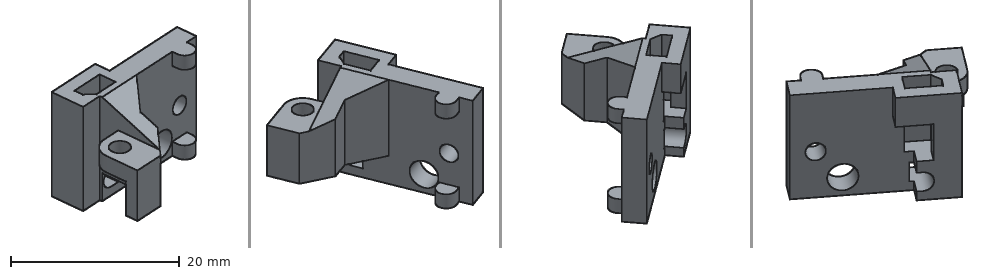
import cadquery as cq
import math

length = 22.3
width = 15.1
height = 14.8

plate_left = 2.25
plate_right = 5.26
plate_front = 5.08
block_right = 4.9
block_front = 2.03
block_back = 10.0
block_foot_back = 7.47
block_upper_bottom = 10.65
pocket_floor = 5.55
window_front = 5.45

pocket_left = 1.87
pocket_right = 4.35
pocket_front = 4.01
pocket_back = 8.6
pocket_chamfer = 1.18

upper_hole_diameter = 2.45
upper_hole_y = 19.22
upper_hole_z = 6.51
lower_hole_diameter = 3.75
lower_hole_y = 15.97
lower_hole_z = 2.6
slot_width = 2.65
slot_front = 5.37
slot_back = 8.03

tab_width = 2.65
tab_end = 7.38
tab_height = 2.03

bracket_bottom = 4.0
bracket_top = 11.17
web_plate_back = 11.37
web_back = 7.45
web_corner_x = 11.89
ear_bottom = 8.83
ear_left = 7.78
ear_radius = 2.48
ear_hole_diameter = 2.65
post_left = 13.3


def box(x0, x1, y0, y1, z0, z1):
    """Box between opposite limits on each axis."""
    return cq.Workplane("XY").box(x1 - x0, y1 - y0, z1 - z0, centered=False).translate((x0, y0, z0))


def prism(points, z0, z1):
    """Vertical prism over a polygon."""
    return cq.Workplane("XY").workplane(offset=z0).polyline(points).close().extrude(z1 - z0)


def hole_along_x(y, z, diameter):
    return cq.Workplane("YZ").center(y, z).circle(diameter / 2).extrude(width)


def make_plate_and_block():
    body = box(plate_left, plate_right, plate_front, length, 0, height)
    body = body.union(box(0, block_right, block_front, window_front, 0, height))
    body = body.union(box(0, block_right, window_front, block_foot_back, 0, pocket_floor))
    body = body.union(box(0, block_right, window_front, block_back, block_upper_bottom, height))
    pocket = prism(
        [
            (pocket_left, pocket_front),
            (pocket_right - pocket_chamfer, pocket_front),
            (pocket_right, pocket_front + pocket_chamfer),
            (pocket_right, pocket_back),
            (pocket_left, pocket_back),
        ],
        pocket_floor,
        height,
    )
    return body.cut(pocket)


def make_tab(bottom):
    radius = tab_width / 2
    center_x = tab_end - radius
    y = upper_hole_y
    return (
        cq.Workplane("XY")
        .workplane(offset=bottom)
        .moveTo(plate_left, y - radius)
        .lineTo(center_x, y - radius)
        .threePointArc((tab_end, y), (center_x, y + radius))
        .lineTo(plate_left, y + radius)
        .close()
        .extrude(tab_height)
    )


def make_web():
    flare_x = plate_right + web_plate_back - web_back
    web_tip_x = web_corner_x + web_back - plate_front
    outline = [
        (plate_right, plate_front),
        (web_tip_x, plate_front),
        (web_corner_x, web_back),
        (flare_x, web_back),
        (plate_right, web_plate_back),
    ]
    side = [
        (plate_right, bracket_bottom),
        (web_tip_x, bracket_bottom),
        (web_tip_x, bracket_top),
        (plate_right, height),
    ]
    slope = cq.Workplane("XZ").polyline(side).close().extrude(-length)
    return prism(outline, bracket_bottom, height).intersect(slope)


def make_ear_and_post():
    corner_y = web_corner_x + web_back - width
    web_tip_x = web_corner_x + web_back - plate_front
    hole_x = ear_left + ear_radius
    arc_offset = ear_radius * math.sqrt(0.5)
    ear = (
        cq.Workplane("XY")
        .workplane(offset=bracket_bottom)
        .moveTo(hole_x, 0)
        .lineTo(width, 0)
        .lineTo(width, corner_y)
        .lineTo(web_tip_x, plate_front)
        .lineTo(ear_left, plate_front)
        .lineTo(ear_left, ear_radius)
        .threePointArc((hole_x - arc_offset, ear_radius - arc_offset), (hole_x, 0))
        .close()
        .extrude(bracket_top - bracket_bottom)
    )
    space_below_ear = box(0, post_left, 0, plate_front, bracket_bottom, ear_bottom)
    hole = cq.Workplane("XY").center(hole_x, ear_radius).circle(ear_hole_diameter / 2).extrude(height)
    return ear.cut(space_below_ear).cut(hole)


def make_slot():
    radius = slot_width / 2
    z = lower_hole_z
    round_y = slot_front + radius
    return (
        cq.Workplane("YZ")
        .moveTo(slot_back, z - radius)
        .lineTo(round_y, z - radius)
        .threePointArc((slot_front, z), (round_y, z + radius))
        .lineTo(slot_back, z + radius)
        .close()
        .extrude(width)
    )


result = make_plate_and_block().union(make_web()).union(make_ear_and_post())
for tab_bottom in (0, height - tab_height):
    result = result.union(make_tab(tab_bottom))
result = result.cut(make_slot())
result = result.cut(hole_along_x(upper_hole_y, upper_hole_z, upper_hole_diameter))
result = result.cut(hole_along_x(lower_hole_y, lower_hole_z, lower_hole_diameter))